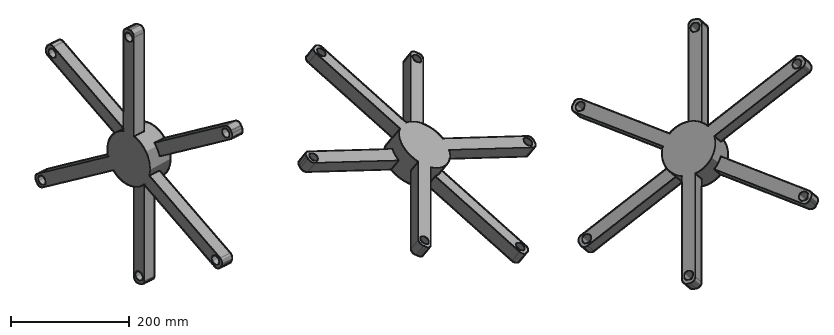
import cadquery as cq

reach = 248.5
hub_diameter = 100.0
hub_thickness = 50.0
arm_width = 25.0
tip_radius = 10.0
hole_diameter = 17.0
hole_to_tip = 15.0

arm_thickness = hub_thickness / 2
arms_per_layer = 3
arm_spacing = 360 / arms_per_layer
front_start_angle = 90
back_start_angle = 270


def make_arm():
    """Arm along +X from the hub axis, with a rounded tip and a through hole, facing -Y."""
    bar = (
        cq.Workplane("XZ")
        .rect(reach, arm_width)
        .extrude(arm_thickness)
        .translate((reach / 2, 0, 0))
        .edges("|Y and >X")
        .fillet(tip_radius)
    )
    hole = (
        cq.Workplane("XZ")
        .center(reach - hole_to_tip, 0)
        .circle(hole_diameter / 2)
        .extrude(arm_thickness)
    )
    return bar.cut(hole)


def make_hub():
    """Disc centred on the Y axis, spanning both arm layers."""
    return cq.Workplane("XZ").circle(hub_diameter / 2).extrude(arm_thickness, both=True)


arm = make_arm()
result = make_hub()
for start_angle, y_shift in ((front_start_angle, 0), (back_start_angle, arm_thickness)):
    for index in range(arms_per_layer):
        angle = start_angle + index * arm_spacing
        placed_arm = arm.rotate((0, 0, 0), (0, 1, 0), -angle).translate((0, y_shift, 0))
        result = result.union(placed_arm)